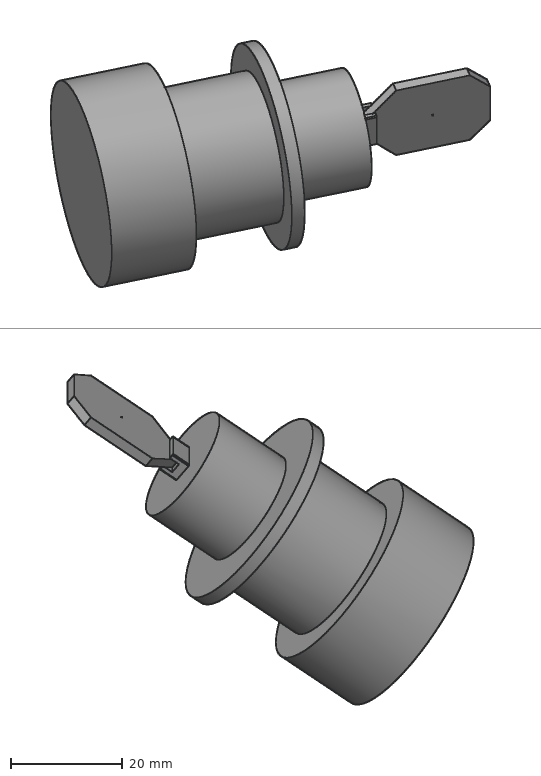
import cadquery as cq

head_diameter = 38.0
head_end = 15.9
barrel_diameter = 28.0
flange_start = 33.85
flange_end = 36.3
rear_diameter = 22.0
rear_end = 51.3

neck_width = 4.0
neck_height = 7.05
neck_end = 55.0
neck_bevel = 0.2

total_length = 76.6
plate_start = 52.9
plate_thickness = 2.0
plate_height = 15.9
front_bevel_length = 6.0
front_bevel_height = 6.2
rear_bevel = 3.8
pinhole_diameter = 0.2
pinhole_y = 65.8


def disc(diameter, start, end):
    """Cylinder on the Y axis between two Y positions."""
    plane = cq.Workplane("XZ", origin=(0, start, 0))
    return plane.circle(diameter / 2).extrude(start - end)


def block(width, height, start, end):
    """Box centred on the Y axis between two Y positions."""
    box = cq.Workplane("XY").box(width, end - start, height)
    return box.translate((0, (start + end) / 2, 0))


def make_body():
    head = disc(head_diameter, 0, head_end)
    barrel = disc(barrel_diameter, head_end, flange_start)
    flange = disc(head_diameter, flange_start, flange_end)
    rear = disc(rear_diameter, flange_end, rear_end)
    return head.union(barrel).union(flange).union(rear)


def make_neck():
    neck = block(neck_width, neck_height, rear_end, neck_end)
    neck = neck.edges("|Y").chamfer(neck_bevel)
    slot = block(plate_thickness, neck_height, plate_start, neck_end)
    return neck.cut(slot)


def make_plate():
    half_height = plate_height / 2
    front_half = half_height - front_bevel_height
    rear_half = half_height - rear_bevel
    upper_edge = [
        (plate_start, front_half),
        (plate_start + front_bevel_length, half_height),
        (total_length - rear_bevel, half_height),
        (total_length, rear_half),
    ]
    lower_edge = [(y, -z) for y, z in reversed(upper_edge)]
    plate = (
        cq.Workplane("YZ")
        .polyline(upper_edge + lower_edge)
        .close()
        .extrude(plate_thickness / 2, both=True)
    )
    pinhole = (
        cq.Workplane("YZ")
        .center(pinhole_y, 0)
        .circle(pinhole_diameter / 2)
        .extrude(plate_thickness, both=True)
    )
    return plate.cut(pinhole)


result = make_body().union(make_neck()).union(make_plate())